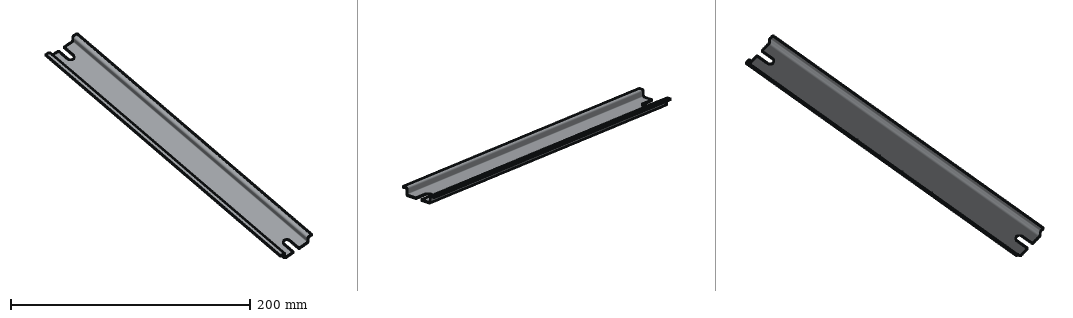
import cadquery as cq

length = 295.0
width = 35.0
height = 7.5

thickness = 1.0
channel_width = 27.0
inner_bend_radius = 1.0
outer_bend_radius = inner_bend_radius + thickness

slot_width = 6.2
slot_depth = 14.8


def make_rail():
    """Extrude the hat section along X, then round its four bends."""
    half_width = width / 2
    wall_outer = channel_width / 2
    wall_inner = wall_outer - thickness
    flange_bottom = height - thickness
    outline = [
        (-half_width, height),
        (-wall_inner, height),
        (-wall_inner, thickness),
        (wall_inner, thickness),
        (wall_inner, height),
        (half_width, height),
        (half_width, flange_bottom),
        (wall_outer, flange_bottom),
        (wall_outer, 0),
        (-wall_outer, 0),
        (-wall_outer, flange_bottom),
        (-half_width, flange_bottom),
    ]
    rail = cq.Workplane("YZ").polyline(outline).close().extrude(length / 2, both=True)

    def round_edges(body, y, z, radius):
        for side in (-1, 1):
            edge = cq.selectors.NearestToPointSelector((0, side * y, z))
            body = body.edges("|X").edges(edge).fillet(radius)
        return body

    rail = round_edges(rail, wall_inner, height, outer_bend_radius)
    rail = round_edges(rail, wall_outer, flange_bottom, inner_bend_radius)
    rail = round_edges(rail, wall_inner, thickness, inner_bend_radius)
    return round_edges(rail, wall_outer, 0, outer_bend_radius)


def make_end_slot(end_x):
    """Round-ended slot centred on the rail end, so half of it lies outside."""
    return (
        cq.Workplane("XY")
        .center(end_x, 0)
        .slot2D(2 * slot_depth, slot_width)
        .extrude(height)
    )


result = make_rail()
for end_x in (-length / 2, length / 2):
    result = result.cut(make_end_slot(end_x))